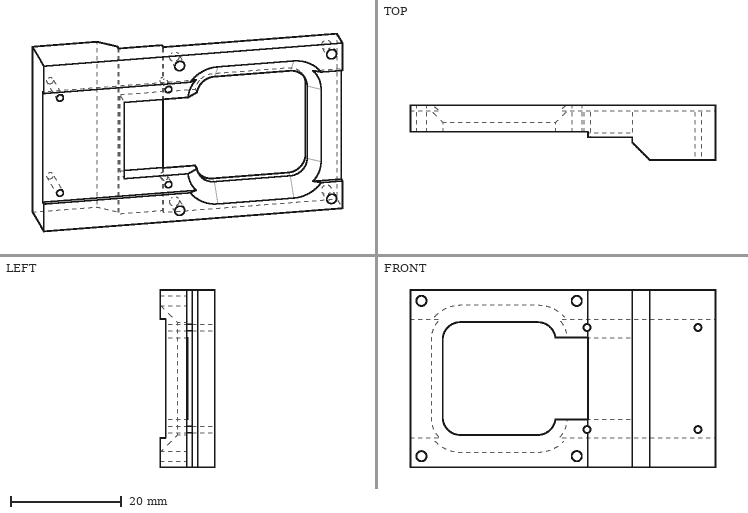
import cadquery as cq

length = 55.04
thickness = 9.91
height = 32.0

plate_end_x = 32.0
plate_depth = 4.82
ledge_end_x = 40.0
ledge_depth = 5.82
ramp_start_depth = 6.76
ramp_run = thickness - ramp_start_depth

groove_width = 21.4
groove_depth = 1.0

window_center_x = 16.0
window_size = 20.3
window_corner_radius = 3.15
window_land = 1.7
bevel_angle = 45.0

slot_width = 14.76
slot_undercut = 0.15
slot_depth = plate_depth + slot_undercut

corner_hole_diameter = 1.8
corner_hole_pitch = 28.0
pin_hole_diameter = 1.22
pin_hole_first_x = 31.85
pin_hole_pitch_x = 20.0
pin_hole_pitch_z = 18.4


def make_body():
    """Stepped bar with a ramp up to the thick end."""
    profile = [
        (0, 0),
        (length, 0),
        (length, -thickness),
        (ledge_end_x + ramp_run, -thickness),
        (ledge_end_x, -ramp_start_depth),
        (ledge_end_x, -ledge_depth),
        (plate_end_x, -ledge_depth),
        (plate_end_x, -plate_depth),
        (0, -plate_depth),
    ]
    return cq.Workplane("XY").polyline(profile).close().extrude(height / 2, both=True)


def back_pocket(x_start, x_end, width, depth):
    """Cutter for a rectangular pocket sunk into the back, centred on Z = 0."""
    return cq.Workplane("XY").box(x_end - x_start, depth, width).translate(
        ((x_start + x_end) / 2, -depth / 2, 0)
    )


def window_outline(depth):
    """Rounded square outline of the window at the given depth, ready to extrude to the back."""
    outline = cq.Sketch().rect(window_size, window_size).vertices().fillet(window_corner_radius)
    plane = cq.Plane(origin=(window_center_x, -depth, 0), xDir=(1, 0, 0), normal=(0, 1, 0))
    return cq.Workplane(plane).placeSketch(outline)


def window():
    """Cutter for the window: a straight land at the front, flaring out to the back."""
    bevel_depth = plate_depth - window_land
    land = window_outline(plate_depth).extrude(window_land)
    flare = window_outline(bevel_depth).extrude(bevel_depth, taper=-bevel_angle)
    return land.union(flare)


def drill(body, diameter, xs, pitch_z):
    """Drill a mirrored pair of holes through the part along Y at every X position."""
    points = [(x, side * pitch_z / 2) for x in xs for side in (-1, 1)]
    holes = cq.Workplane("XZ").pushPoints(points).circle(diameter / 2).extrude(thickness)
    return body.cut(holes)


result = make_body()
result = result.cut(back_pocket(0, length, groove_width, groove_depth))
result = result.cut(window())
result = result.cut(back_pocket(window_center_x, ledge_end_x, slot_width, slot_depth))

corner_hole_xs = [window_center_x + side * corner_hole_pitch / 2 for side in (-1, 1)]
result = drill(result, corner_hole_diameter, corner_hole_xs, corner_hole_pitch)

pin_hole_xs = [pin_hole_first_x, pin_hole_first_x + pin_hole_pitch_x]
result = drill(result, pin_hole_diameter, pin_hole_xs, pin_hole_pitch_z)